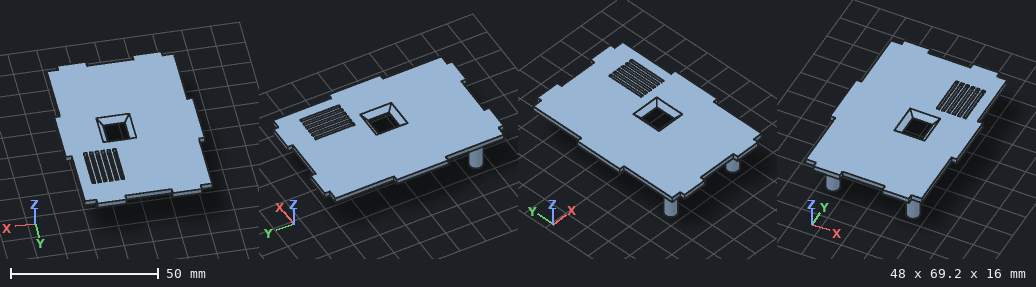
import cadquery as cq

length = 69.2
width = 48.0
height = 16.0
thickness = 2.0
body_width = width - 2 * thickness
body_length = length - 2 * thickness
end_tab_width = 10.05
end_tab_offset = 13.0
side_tab_length = 20.0

window_width = 11.4
window_length = 12.05
window_x = 4.4
window_y = -0.6

slot_count = 6
slot_width = 1.0
slot_pitch = 2.0
slot_length = 14.95
vent_x = 12.2
vent_y = 16.9

post_diameter = 5.0
post_length = height - thickness
post_offset_x = 15.15
post_y = -25.5
flare_radius = 1.4


def make_plate():
    """Tabbed plate with its underside at Z = 0."""
    plate = cq.Workplane("XY").rect(body_width, body_length).extrude(thickness)
    side_tabs = cq.Workplane("XY").rect(width, side_tab_length).extrude(thickness)
    end_tabs = (
        cq.Workplane("XY")
        .pushPoints([(-end_tab_offset, 0), (end_tab_offset, 0)])
        .rect(end_tab_width, length)
        .extrude(thickness)
    )
    return plate.union(side_tabs).union(end_tabs)


def make_window():
    """Cutter for the bevelled window."""
    return (
        cq.Workplane("XY", origin=(window_x, window_y, thickness))
        .rect(window_width, window_length)
        .extrude(-thickness, taper=45)
    )


def make_vent():
    """Cutter for the row of through slots."""
    return (
        cq.Workplane("XY", origin=(vent_x, vent_y, 0))
        .rarray(slot_pitch, 0.7, slot_count, 1)
        .rect(slot_width, slot_length)
        .extrude(thickness)
    )


def make_post(x):
    """Round post with a concave quarter-round flare at its top."""
    radius = post_diameter / 2
    flare_start = (radius, -flare_radius)
    flare_end = (radius + flare_radius, 0)
    profile = (
        cq.Workplane("XZ")
        .lineTo(0, -post_length)
        .lineTo(radius, -post_length)
        .lineTo(*flare_start)
        .tangentArcPoint(flare_end, relative=False)
        .lineTo(0, 0)
        .close()
    )
    return profile.revolve(360, (0, 0, 0), (0, 1, 0)).translate((x, post_y, 0))


result = make_plate().cut(make_window()).cut(make_vent())
for post_x in (-post_offset_x, post_offset_x):
    result = result.union(make_post(post_x))